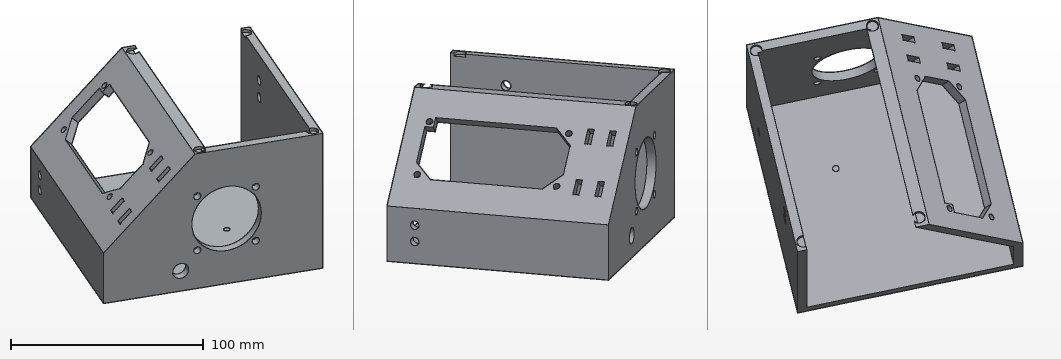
import cadquery as cq
import math

length = 120.0
depth = 120.0
height = 80.0
wall = 5.0
front_height = 30.0
panel_run = height - front_height
panel_shift = wall * math.sqrt(2)

window_left = 10.4
window_right = 89.9
window_bottom = 17.6
window_top = 54.0
window_chamfer = 9.5
tab_width = 4.6
tab_height = 5.7
display_screw_diameter = 3.4
display_screw_xs = (12.2, 87.7)
display_screw_heights = (19.9, 51.4)

slot_width = 3.3
slot_height = 8.9
slot_xs = (99.0, 110.9)
slot_heights = (20.5, 50.6)

fan_y = 67.3
fan_z = 38.7
fan_diameter = 38.0
fan_screw_spacing = 32.0
fan_screw_diameter = 3.9
cable_y = 42.2
cable_z = 12.0
cable_diameter = 8.7

front_hole_x = 15.1
front_hole_zs = (12.0, 20.8)
front_hole_diameter = 4.5
rear_hole_x = 30.1
rear_hole_zs = (54.8, 64.8)
rear_hole_diameter = 5.2
rear_screw_x = 91.0
rear_screw_z = 31.2
rear_screw_diameter = 4.2

floor_mark_x = 73.2
floor_mark_y = 83.0
floor_mark_diameter = 3.4
floor_mark_depth = 0.2

rim_pocket_depth = 1.6
rim_pockets = (
    (5.1, 54.3, 6.4),
    (5.1, 115.9, 6.4),
    (115.8, 115.7, 6.1),
    (116.1, 53.8, 6.1),
)


def make_shell():
    """Sloped-front box whose cavity is open to -X and to the top."""
    outer = (
        cq.Workplane("YZ")
        .polyline([(0, 0), (depth, 0), (depth, height), (panel_run, height), (0, front_height)])
        .close()
        .extrude(length)
    )
    inner_slope_start = wall + front_height - panel_shift
    inner_slope_end = panel_run + panel_shift
    cavity = (
        cq.Workplane("YZ")
        .polyline([
            (wall, wall),
            (depth - wall, wall),
            (depth - wall, height),
            (inner_slope_end, height),
            (wall, inner_slope_start),
        ])
        .close()
        .extrude(length - wall)
    )
    return outer.cut(cavity)


def panel_plane():
    """Plane on the sloped face: X along the part, Y up the slope."""
    return cq.Workplane(cq.Plane(origin=(0, 0, front_height), xDir=(1, 0, 0), normal=(0, -1, 1)))


def make_window():
    outline = [
        (window_left + window_chamfer, window_bottom),
        (window_right - window_chamfer, window_bottom),
        (window_right, window_bottom + window_chamfer),
        (window_right, window_top - window_chamfer),
        (window_right - window_chamfer, window_top),
        (window_left + tab_width, window_top),
        (window_left + tab_width, window_top - tab_height),
        (window_left, window_top - tab_height),
        (window_left, window_bottom + window_chamfer),
    ]
    return panel_plane().polyline(outline).close().extrude(-wall)


def make_display_screw_holes():
    points = [(x, v) for x in display_screw_xs for v in display_screw_heights]
    return panel_plane().pushPoints(points).circle(display_screw_diameter / 2).extrude(-wall)


def make_button_slots():
    points = [(x, v) for x in slot_xs for v in slot_heights]
    return panel_plane().pushPoints(points).rect(slot_width, slot_height).extrude(-wall)


def side_wall_hole(y, z, diameter):
    return cq.Workplane("YZ", origin=(length - wall, y, z)).circle(diameter / 2).extrude(wall)


def wall_hole_along_y(x, y_start, z, diameter):
    return cq.Workplane("XZ", origin=(x, y_start, z)).circle(diameter / 2).extrude(-wall)


def pocket_from_above(x, y, z_top, diameter, pocket_depth):
    return cq.Workplane("XY", origin=(x, y, z_top)).circle(diameter / 2).extrude(-pocket_depth)


result = make_shell()
result = result.cut(make_window())
result = result.cut(make_display_screw_holes())
result = result.cut(make_button_slots())

result = result.cut(side_wall_hole(fan_y, fan_z, fan_diameter))
for y_side in (-1, 1):
    for z_side in (-1, 1):
        screw_y = fan_y + y_side * fan_screw_spacing / 2
        screw_z = fan_z + z_side * fan_screw_spacing / 2
        result = result.cut(side_wall_hole(screw_y, screw_z, fan_screw_diameter))
result = result.cut(side_wall_hole(cable_y, cable_z, cable_diameter))

for hole_z in front_hole_zs:
    result = result.cut(wall_hole_along_y(front_hole_x, 0, hole_z, front_hole_diameter))
for hole_z in rear_hole_zs:
    result = result.cut(wall_hole_along_y(rear_hole_x, depth - wall, hole_z, rear_hole_diameter))
result = result.cut(wall_hole_along_y(rear_screw_x, depth - wall, rear_screw_z, rear_screw_diameter))

floor_mark = pocket_from_above(floor_mark_x, floor_mark_y, wall, floor_mark_diameter, floor_mark_depth)
result = result.cut(floor_mark)
for pocket_x, pocket_y, pocket_diameter in rim_pockets:
    result = result.cut(pocket_from_above(pocket_x, pocket_y, height, pocket_diameter, rim_pocket_depth))